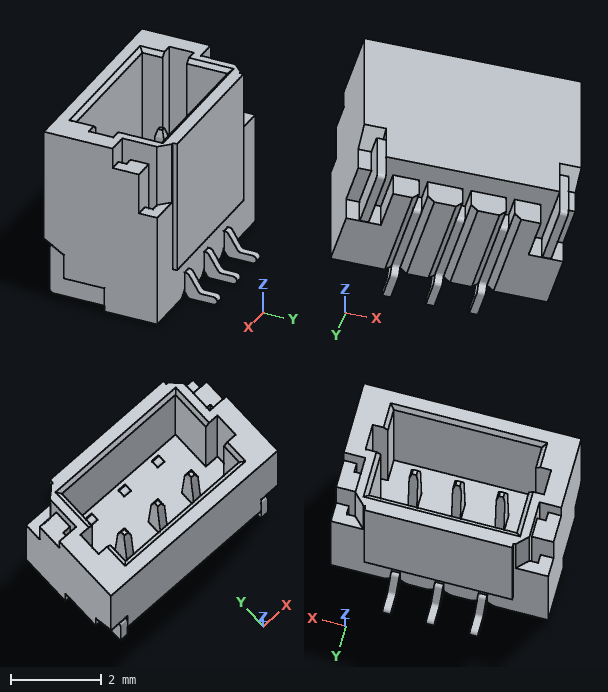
import cadquery as cq

LENGTH = 5.0
DEPTH = 2.8
HEIGHT = 4.25
HALF_LENGTH = LENGTH / 2

PANEL_HALF_WIDTH = 1.7
PANEL_THICKNESS = 0.1
PANEL_BOTTOM = 1.0

CAVITY_HALF_WIDTH = 1.7
CAVITY_FRONT = 0.4
CAVITY_BACK = 2.5
CAVITY_FLOOR = 1.0
RIM_CHAMFER = 0.1
KEYWAY_HALF_WIDTH = 2.05
KEYWAY_FRONT = 0.9
KEYWAY_BACK = 1.5

STEP_INNER_X = 2.0
HIGH_STEP_FRONT = 1.7
HIGH_STEP_Z = HEIGHT - 0.5
LOW_STEP_FRONT = 2.35
LOW_STEP_Z = HEIGHT - 1.5
CORNER_CHAMFER = 0.25
WELL_SIZE = 0.2
WELL_FLOOR = CAVITY_FLOOR

UNDERSIDE_Z = 0.6
FOOT_FRONT = 0.5
FOOT_HALF_WIDTH = 1.7
TAB_BAY_BACK = 1.5
SHOULDER_Z = 1.2
SHOULDER_RISE = 0.3

SHEET = 0.2
BELOW_HOUSING = 0.05
BEND_RADIUS = 0.1
TAB_INNER_X = STEP_INNER_X

CONTACT_COUNT = 3
CONTACT_PITCH = 1.0
BAR_FRONT = 1.0
BAR_BOTTOM = 0.15
NOTCH_HALF_WIDTH = SHEET / 2 + BAR_BOTTOM
PIN_CENTER_Y = 1.205
PIN_BASE_DEPTH = 2 * (PIN_CENTER_Y - BAR_FRONT)
PIN_TOP_DEPTH = 0.22
PIN_TAPER_HEIGHT = 1.6
TIP_HEIGHT = 0.175
TIP_RATIO = 0.5
LEG_FRONT = 2.2
TAIL_END = 3.6
TAIL_SLOPE_TOP = 2.88
TAIL_SLOPE_FOOT = 3.165
TAIL_UNDER_SLOPE_TOP = 2.76


def box(x0, x1, y0, y1, z0, z1):
    """Solid block between opposite corners."""
    block = cq.Workplane("XY").box(x1 - x0, y1 - y0, z1 - z0, centered=False)
    return block.translate((x0, y0, z0))


def on_both_ends(shape):
    """The shape together with its mirror image across the middle of the length."""
    return shape.union(shape.mirror("YZ"))


def side_profile(points, x0, x1):
    """Prism with a (y, z) outline that spans x0 to x1."""
    return cq.Workplane("YZ", origin=(x0, 0, 0)).polyline(points).close().extrude(x1 - x0)


def contact_positions():
    first = -CONTACT_PITCH * (CONTACT_COUNT - 1) / 2
    return [first + i * CONTACT_PITCH for i in range(CONTACT_COUNT)]


def cavity():
    """Open-top cavity with a chamfered rim and a keyway across its width."""
    well = box(-CAVITY_HALF_WIDTH, CAVITY_HALF_WIDTH, CAVITY_FRONT, CAVITY_BACK, CAVITY_FLOOR, HEIGHT)
    center_y = (CAVITY_FRONT + CAVITY_BACK) / 2
    width = 2 * CAVITY_HALF_WIDTH
    depth = CAVITY_BACK - CAVITY_FRONT
    rim = (
        cq.Workplane("XY", origin=(0, center_y, HEIGHT - RIM_CHAMFER))
        .rect(width, depth)
        .workplane(offset=RIM_CHAMFER)
        .rect(width + 2 * RIM_CHAMFER, depth + 2 * RIM_CHAMFER)
        .loft(ruled=True)
    )
    keyway = box(-KEYWAY_HALF_WIDTH, KEYWAY_HALF_WIDTH, KEYWAY_FRONT, KEYWAY_BACK, CAVITY_FLOOR, HEIGHT)
    return well.union(rim).union(keyway)


def corner_steps():
    """Two-level step at each rear top corner, with a small blind well in each level."""
    high = box(STEP_INNER_X, HALF_LENGTH, HIGH_STEP_FRONT, DEPTH, HIGH_STEP_Z, HEIGHT)
    low_outline = [
        (STEP_INNER_X, LOW_STEP_FRONT),
        (HALF_LENGTH, LOW_STEP_FRONT),
        (HALF_LENGTH, DEPTH),
        (STEP_INNER_X - CORNER_CHAMFER, DEPTH),
        (STEP_INNER_X, DEPTH - CORNER_CHAMFER),
    ]
    low = (
        cq.Workplane("XY", origin=(0, 0, LOW_STEP_Z))
        .polyline(low_outline)
        .close()
        .extrude(HEIGHT - LOW_STEP_Z)
    )
    steps = high.union(low)
    for front in (HIGH_STEP_FRONT, LOW_STEP_FRONT):
        well = box(STEP_INNER_X, STEP_INNER_X + WELL_SIZE, front, front + WELL_SIZE, WELL_FLOOR, HIGH_STEP_Z)
        steps = steps.union(well)
    return on_both_ends(steps)


def underside_relief():
    """Front undercut between the feet, and the bay and sloped shoulder above each tab."""
    front = box(-HALF_LENGTH, HALF_LENGTH, 0, FOOT_FRONT, 0, UNDERSIDE_Z)
    bay = box(FOOT_HALF_WIDTH, HALF_LENGTH, 0, TAB_BAY_BACK, 0, UNDERSIDE_Z)
    shoulder_outline = [
        (0, UNDERSIDE_Z),
        (FOOT_FRONT, UNDERSIDE_Z),
        (FOOT_FRONT, SHOULDER_Z),
        (0, SHOULDER_Z + SHOULDER_RISE),
    ]
    shoulder = side_profile(shoulder_outline, TAB_INNER_X, HALF_LENGTH)
    return front.union(on_both_ends(bay.union(shoulder)))


def contact_slot(x):
    """Channel for one contact, flared at the bottom, with floor holes for its pin and leg."""
    x0 = x - SHEET / 2
    x1 = x + SHEET / 2
    channel = box(x0, x1, FOOT_FRONT, DEPTH, 0, UNDERSIDE_Z)
    flare = (
        cq.Workplane("XZ", origin=(x, DEPTH, 0))
        .polyline([(-NOTCH_HALF_WIDTH, 0), (NOTCH_HALF_WIDTH, 0), (0, NOTCH_HALF_WIDTH)])
        .close()
        .extrude(DEPTH - FOOT_FRONT)
    )
    pin_hole = box(x0, x1, BAR_FRONT, BAR_FRONT + PIN_BASE_DEPTH, UNDERSIDE_Z, CAVITY_FLOOR)
    leg_hole = box(x0, x1, LEG_FRONT, LEG_FRONT + SHEET, UNDERSIDE_Z, CAVITY_FLOOR)
    return channel.union(flare).union(pin_hole).union(leg_hole)


def make_housing():
    body = box(-HALF_LENGTH, HALF_LENGTH, 0, DEPTH, 0, HEIGHT)
    panel = box(
        -PANEL_HALF_WIDTH, PANEL_HALF_WIDTH, DEPTH, DEPTH + PANEL_THICKNESS, PANEL_BOTTOM, HEIGHT
    )
    body = body.union(panel).cut(cavity()).cut(corner_steps()).cut(underside_relief())
    for x in contact_positions():
        body = body.cut(contact_slot(x))
    return body


def make_contact(x):
    """Contact with a bar under the floor, a tapered pin, a round-tipped locking leg and a bent tail."""
    x0 = x - SHEET / 2
    x1 = x + SHEET / 2
    tail_bottom = -BELOW_HOUSING
    tail_top = tail_bottom + SHEET
    slope_run_per_rise = (TAIL_SLOPE_FOOT - TAIL_SLOPE_TOP) / (UNDERSIDE_Z - tail_top)
    under_slope_foot = TAIL_UNDER_SLOPE_TOP + slope_run_per_rise * (BAR_BOTTOM - tail_bottom)
    round_center_y = TAIL_END - SHEET / 2
    bar_and_tail = (
        cq.Workplane("YZ", origin=(x0, 0, 0))
        .moveTo(BAR_FRONT, UNDERSIDE_Z)
        .lineTo(TAIL_SLOPE_TOP, UNDERSIDE_Z)
        .lineTo(TAIL_SLOPE_FOOT, tail_top)
        .lineTo(round_center_y, tail_top)
        .threePointArc((TAIL_END, (tail_top + tail_bottom) / 2), (round_center_y, tail_bottom))
        .lineTo(under_slope_foot, tail_bottom)
        .lineTo(TAIL_UNDER_SLOPE_TOP, BAR_BOTTOM)
        .lineTo(BAR_FRONT, BAR_BOTTOM)
        .close()
        .extrude(SHEET)
    )
    bends = [
        (BAR_FRONT, BAR_BOTTOM),
        (TAIL_UNDER_SLOPE_TOP, BAR_BOTTOM),
        (under_slope_foot, tail_bottom),
        (TAIL_SLOPE_FOOT, tail_top),
        (TAIL_SLOPE_TOP, UNDERSIDE_Z),
    ]
    for y, z in bends:
        bar_and_tail = bar_and_tail.edges(cq.NearestToPointSelector((x, y, z))).fillet(BEND_RADIUS)

    pin_stem = box(x0, x1, BAR_FRONT, BAR_FRONT + PIN_BASE_DEPTH, UNDERSIDE_Z, CAVITY_FLOOR)
    pin_taper = (
        cq.Workplane("XY", origin=(x, PIN_CENTER_Y, CAVITY_FLOOR))
        .rect(SHEET, PIN_BASE_DEPTH)
        .workplane(offset=PIN_TAPER_HEIGHT)
        .rect(SHEET, PIN_TOP_DEPTH)
        .loft(ruled=True)
    )
    pin_tip = (
        cq.Workplane("XY", origin=(x, PIN_CENTER_Y, CAVITY_FLOOR + PIN_TAPER_HEIGHT))
        .rect(SHEET, PIN_TOP_DEPTH)
        .workplane(offset=TIP_HEIGHT)
        .rect(SHEET * TIP_RATIO, PIN_TOP_DEPTH * TIP_RATIO)
        .loft(ruled=True)
    )
    leg_round_z = CAVITY_FLOOR - SHEET / 2
    leg = (
        cq.Workplane("YZ", origin=(x0, 0, 0))
        .moveTo(LEG_FRONT, UNDERSIDE_Z)
        .lineTo(LEG_FRONT, leg_round_z)
        .threePointArc((LEG_FRONT + SHEET / 2, CAVITY_FLOOR), (LEG_FRONT + SHEET, leg_round_z))
        .lineTo(LEG_FRONT + SHEET, UNDERSIDE_Z)
        .close()
        .extrude(SHEET)
    )
    return bar_and_tail.union(pin_stem).union(pin_taper).union(pin_tip).union(leg)


def make_tab(x0):
    """L-shaped solder tab standing in the recesses at one end of the housing."""
    bottom = -BELOW_HOUSING
    outline = [
        (0, bottom),
        (TAB_BAY_BACK, bottom),
        (TAB_BAY_BACK, UNDERSIDE_Z),
        (FOOT_FRONT, UNDERSIDE_Z),
        (FOOT_FRONT, SHOULDER_Z),
        (0, SHOULDER_Z),
    ]
    tab = side_profile(outline, x0, x0 + SHEET)
    center_x = x0 + SHEET / 2
    for y, z in ((0, bottom), (TAB_BAY_BACK, bottom), (0, SHOULDER_Z)):
        tab = tab.edges(cq.NearestToPointSelector((center_x, y, z))).fillet(BEND_RADIUS)
    return tab


housing = make_housing()
contacts = [make_contact(x) for x in contact_positions()]
tabs = [make_tab(x0) for x0 in (-TAB_INNER_X - SHEET, TAB_INNER_X)]

result = cq.Compound.makeCompound(
    [housing.val(), *[contact.val() for contact in contacts], *[tab.val() for tab in tabs]]
)